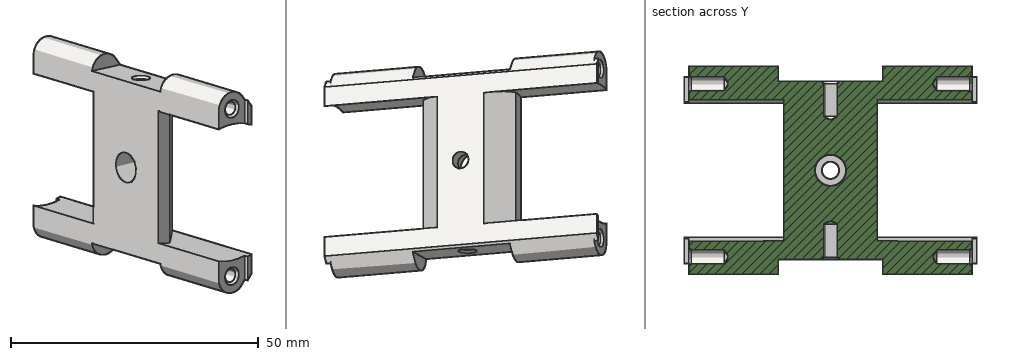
import cadquery as cq
import math

LENGTH = 59.0
DEPTH = 8.0
HEIGHT = 42.0
FRONT = -DEPTH / 2
BACK = DEPTH / 2

NOSE_RADIUS = 3.55
NOSE_Y = FRONT + NOSE_RADIUS
NOSE_Z = HEIGHT / 2 - NOSE_RADIUS
INNER_RADIUS = 14.2

TAB_LENGTH = 0.95
TAB_THICKNESS = 1.05

WEB_WIDTH = 20.05
WEB_STRAIGHT_DEPTH = 3.0
UNDERCUT_ANGLE = 45.0

NOTCH_WIDTH = 21.05
NOTCH_DEPTH = 3.0

BORE_DIAMETER = 3.4
COUNTERBORE_DIAMETER = 6.2
COUNTERBORE_DEPTH = 5.0

HOLE_DIAMETER = 2.7
HOLE_DEPTH = 7.1
SINK_DIAMETER = 3.7
SINK_DEPTH = (SINK_DIAMETER - HOLE_DIAMETER) / 2
TIP_DIAMETER = 0.7
TIP_DEPTH = 0.7


def make_body():
    """Extrude the closed side profile, whose back bevels are tangent to the noses."""
    tangent_angle = math.acos(NOSE_RADIUS / (BACK - NOSE_Y))
    tangent_y = NOSE_Y + NOSE_RADIUS * math.cos(tangent_angle)
    tangent_z = NOSE_Z + NOSE_RADIUS * math.sin(tangent_angle)
    return (
        cq.Workplane("YZ")
        .moveTo(FRONT, -NOSE_Z)
        .lineTo(FRONT, NOSE_Z)
        .threePointArc((NOSE_Y, HEIGHT / 2), (tangent_y, tangent_z))
        .lineTo(BACK, NOSE_Z)
        .lineTo(BACK, -NOSE_Z)
        .lineTo(tangent_y, -tangent_z)
        .threePointArc((NOSE_Y, -HEIGHT / 2), (FRONT, -NOSE_Z))
        .close()
        .extrude(LENGTH / 2, both=True)
    )


def make_windows():
    """Space between the arms, on both sides of the undercut web."""
    core = cq.Workplane("YZ").center(NOSE_Y, 0).circle(INNER_RADIUS).extrude(LENGTH / 2, both=True)
    half_width = WEB_WIDTH / 2
    undercut_start = FRONT + WEB_STRAIGHT_DEPTH
    undercut = (BACK - undercut_start) * math.tan(math.radians(UNDERCUT_ANGLE))
    web = (
        cq.Workplane("XY")
        .polyline([
            (-half_width, -LENGTH),
            (half_width, -LENGTH),
            (half_width, undercut_start),
            (half_width - undercut, BACK),
            (undercut - half_width, BACK),
            (-half_width, undercut_start),
        ])
        .close()
        .extrude(HEIGHT / 2, both=True)
    )
    return core.cut(web).intersect(cq.Workplane("XY").box(LENGTH, DEPTH, HEIGHT))


def make_end_step(side):
    """Material in front of the tabs at one end of the arms."""
    step_depth = DEPTH - TAB_THICKNESS
    return (
        cq.Workplane("XY")
        .box(TAB_LENGTH, step_depth, HEIGHT)
        .translate((side * (LENGTH - TAB_LENGTH) / 2, FRONT + step_depth / 2, 0))
    )


def make_notch(side):
    return (
        cq.Workplane("XY")
        .box(NOTCH_WIDTH, DEPTH, NOTCH_DEPTH)
        .translate((0, 0, side * (HEIGHT - NOTCH_DEPTH) / 2))
    )


def make_central_hole():
    front_plane = cq.Workplane("XZ", origin=(0, FRONT, 0))
    bore = front_plane.circle(BORE_DIAMETER / 2).extrude(-DEPTH)
    counterbore = front_plane.circle(COUNTERBORE_DIAMETER / 2).extrude(-COUNTERBORE_DEPTH)
    return bore.union(counterbore)


def make_blind_hole(mouth, direction):
    """Countersunk hole from the mouth point, drilled along the direction."""
    plane = cq.Plane(origin=mouth, xDir=(0, 1, 0), normal=direction)
    profile = cq.Workplane("XZ").polyline([
        (0, 0),
        (SINK_DIAMETER / 2, 0),
        (HOLE_DIAMETER / 2, SINK_DEPTH),
        (HOLE_DIAMETER / 2, HOLE_DEPTH),
        (TIP_DIAMETER / 2, HOLE_DEPTH + TIP_DEPTH),
        (0, HOLE_DEPTH + TIP_DEPTH),
    ]).close()
    cutter = profile.revolve(360, (0, 0, 0), (0, 1, 0))
    return cq.Workplane(obj=cutter.val().moved(cq.Location(plane)))


result = make_body().cut(make_windows()).cut(make_central_hole())
arm_end = LENGTH / 2 - TAB_LENGTH
notch_floor = HEIGHT / 2 - NOTCH_DEPTH
for side in (-1, 1):
    result = result.cut(make_end_step(side)).cut(make_notch(side))
    result = result.cut(make_blind_hole((0, 0, side * notch_floor), (0, 0, -side)))
    for arm in (-1, 1):
        result = result.cut(make_blind_hole((side * arm_end, NOSE_Y, arm * NOSE_Z), (-side, 0, 0)))